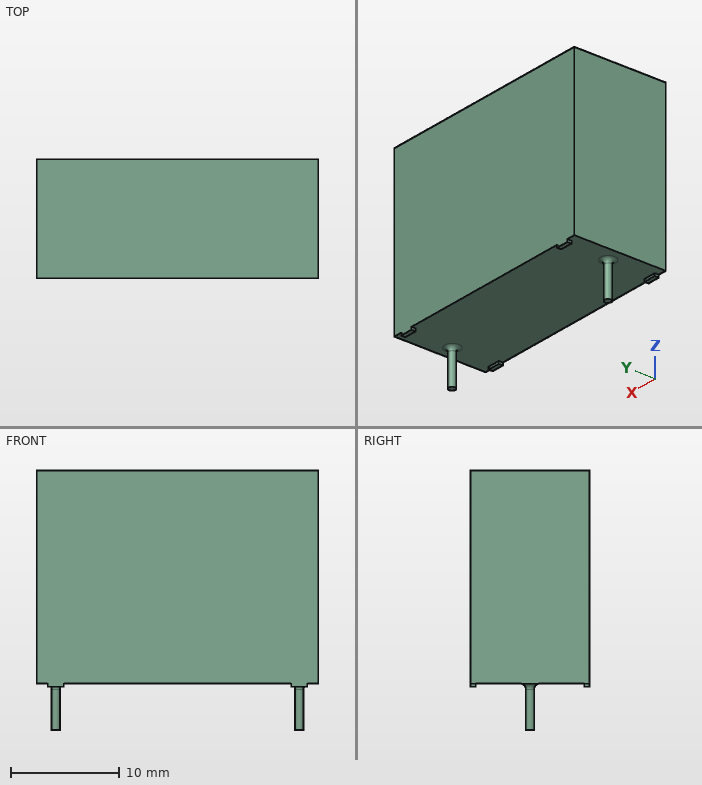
import cadquery as cq

BODY_LENGTH = 26.0
BODY_WIDTH = 11.0
STANDING_HEIGHT = 20.0
FOOT_HEIGHT = 0.3

FOOT_LENGTH = 1.5
FOOT_WIDTH = 0.5

LEAD_PITCH = 22.5
LEAD_DIAMETER = 0.8
LEAD_REACH = 4.0
COLLAR_RADIUS = 0.5

LEAD_RADIUS = LEAD_DIAMETER / 2
SIDES = (-1, 1)


def make_body():
    """Rectangular case resting on top of the feet."""
    body_height = STANDING_HEIGHT - FOOT_HEIGHT
    return (
        cq.Workplane("XY")
        .workplane(offset=FOOT_HEIGHT)
        .rect(BODY_LENGTH, BODY_WIDTH)
        .extrude(body_height)
    )


def make_feet():
    """Four feet, in line with the leads and flush with the long side faces."""
    foot_y = (BODY_WIDTH - FOOT_WIDTH) / 2
    centres = [(sx * LEAD_PITCH / 2, sy * foot_y) for sx in SIDES for sy in SIDES]
    return (
        cq.Workplane("XY")
        .pushPoints(centres)
        .rect(FOOT_LENGTH, FOOT_WIDTH)
        .extrude(FOOT_HEIGHT)
    )


def make_lead(x):
    """Round lead with a concave collar at the case, revolved about its own axis."""
    collar_outer = LEAD_RADIUS + COLLAR_RADIUS
    collar_bottom = FOOT_HEIGHT - COLLAR_RADIUS
    return (
        cq.Workplane("XZ")
        .moveTo(0, FOOT_HEIGHT)
        .lineTo(collar_outer, FOOT_HEIGHT)
        .radiusArc((LEAD_RADIUS, collar_bottom), -COLLAR_RADIUS)
        .lineTo(LEAD_RADIUS, -LEAD_REACH)
        .lineTo(0, -LEAD_REACH)
        .close()
        .revolve(360, (0, 0, 0), (0, 1, 0))
        .translate((x, 0, 0))
    )


result = make_body().union(make_feet())
for side in SIDES:
    result = result.union(make_lead(side * LEAD_PITCH / 2))